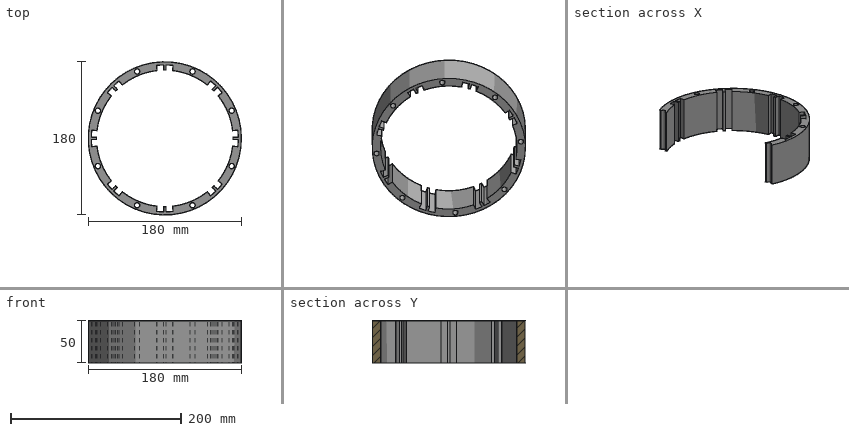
import cadquery as cq
import math

OUTER_DIAMETER = 180.0
INNER_DIAMETER = 160.0
HEIGHT = 50.0

SLOT_COUNT = 8
SLOT_SPAN_ANGLE = 12.8
SLOT_FLOOR_DIAMETER = 172.0
RIB_WIDTH = 2.9
RIB_TIP_RADIUS = INNER_DIAMETER / 2

HOLE_DIAMETER = 6.0
HOLE_CIRCLE_DIAMETER = 170.0

PITCH_ANGLE = 360 / SLOT_COUNT
OUTER_RADIUS = OUTER_DIAMETER / 2
HALF_WEDGE_WIDTH = OUTER_RADIUS * math.tan(math.radians(SLOT_SPAN_ANGLE / 2))


def cylinder(diameter):
    return cq.Workplane("XY").circle(diameter / 2).extrude(HEIGHT)


def radial_bar(start_radius, end_radius, width, angle):
    """Full-height bar running outward along the given direction."""
    bar = cq.Workplane("XY").rect(end_radius - start_radius, width).extrude(HEIGHT)
    bar = bar.translate(((start_radius + end_radius) / 2, 0, 0))
    return bar.rotate((0, 0, 0), (0, 0, 1), angle)


def slot(angle):
    """Two pockets with radial sides and a curved floor, with the rib left standing between them."""
    wedge_corners = [(0, 0), (OUTER_RADIUS, -HALF_WEDGE_WIDTH), (OUTER_RADIUS, HALF_WEDGE_WIDTH)]
    wedge = cq.Workplane("XY").polyline(wedge_corners).close().extrude(HEIGHT)
    opening = wedge.rotate((0, 0, 0), (0, 0, 1), angle)
    rib = radial_bar(RIB_TIP_RADIUS, OUTER_RADIUS, RIB_WIDTH, angle)
    return opening.cut(rib).intersect(cylinder(SLOT_FLOOR_DIAMETER))


ring = cylinder(OUTER_DIAMETER).cut(cylinder(INNER_DIAMETER))
for index in range(SLOT_COUNT):
    ring = ring.cut(slot(index * PITCH_ANGLE))

holes = (
    cq.Workplane("XY")
    .polarArray(HOLE_CIRCLE_DIAMETER / 2, PITCH_ANGLE / 2, 360, SLOT_COUNT)
    .circle(HOLE_DIAMETER / 2)
    .extrude(HEIGHT)
)

result = ring.cut(holes)